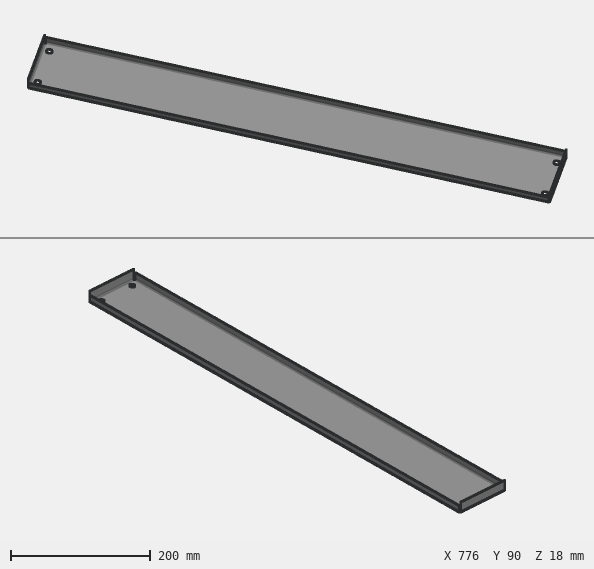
import cadquery as cq
import math

LENGTH = 776.0
WIDTH = 90.0
END_HEIGHT = 18.0
SIDE_HEIGHT = 12.2

THICKNESS = 1.0
INNER_RADIUS = 1.0
OUTER_RADIUS = INNER_RADIUS + THICKNESS

CORNER_RELIEF = OUTER_RADIUS

SLOT_LENGTH = 8.5
SLOT_WIDTH = 7.0
SLOT_SPACING_X = 754.0
SLOT_SPACING_Y = 60.0


def make_floor():
    """Flat bottom sheet, ending where the bends begin."""
    return cq.Workplane("XY").box(
        LENGTH - 2 * OUTER_RADIUS,
        WIDTH - 2 * OUTER_RADIUS,
        THICKNESS,
        centered=(True, True, False),
    )


def make_flange(plane, span, height, run):
    """Bend and upright wall along both opposite edges: `span` apart, each `run` long."""
    half = span / 2
    bend_start = half - OUTER_RADIUS
    diagonal = math.sqrt(0.5)
    outer_mid = (bend_start + OUTER_RADIUS * diagonal, OUTER_RADIUS * (1 - diagonal))
    inner_mid = (bend_start + INNER_RADIUS * diagonal, OUTER_RADIUS - INNER_RADIUS * diagonal)
    flange = (
        cq.Workplane(plane)
        .moveTo(bend_start, 0)
        .threePointArc(outer_mid, (half, OUTER_RADIUS))
        .lineTo(half, height)
        .lineTo(half - THICKNESS, height)
        .lineTo(half - THICKNESS, OUTER_RADIUS)
        .threePointArc(inner_mid, (bend_start, THICKNESS))
        .close()
        .extrude(run / 2, both=True)
    )
    return flange.union(flange.rotate((0, 0, 0), (0, 0, 1), 180))


def make_slots():
    """Cutters for the four slotted holes, long side along X."""
    return (
        cq.Workplane("XY")
        .rarray(SLOT_SPACING_X, SLOT_SPACING_Y, 2, 2)
        .slot2D(SLOT_LENGTH, SLOT_WIDTH)
        .extrude(THICKNESS)
    )


side_flanges = make_flange("YZ", WIDTH, SIDE_HEIGHT, LENGTH - 2 * CORNER_RELIEF)
end_flanges = make_flange("XZ", LENGTH, END_HEIGHT, WIDTH - 2 * CORNER_RELIEF)

result = make_floor().union(side_flanges).union(end_flanges).cut(make_slots())